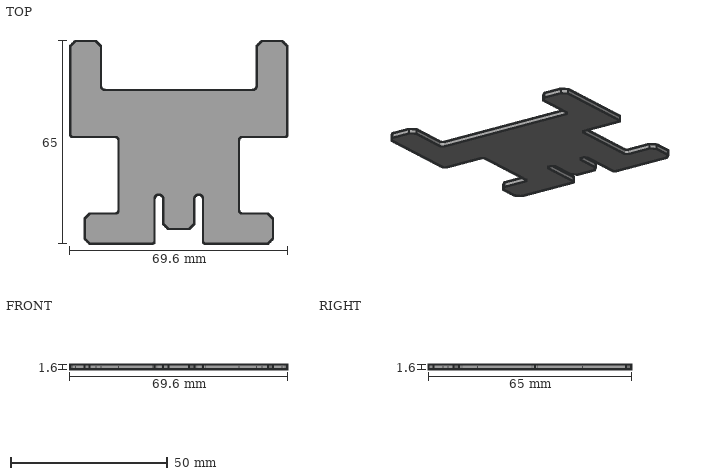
import cadquery as cq

width = 69.6
height = 65.0
thickness = 1.6

arm_width = 9.9
arm_notch_depth = 15.65
arm_length = 30.8

body_width = 38.7
feet_width = 60.4
foot_height = 9.75

tab_width = 10.0
slot_width = 2.7
slot_depth = 15.7
tab_recess = 4.65

tip_chamfer = 1.7
notch_radius = 1.25
inner_radius = 1.0
outer_radius = 0.8

top = height / 2
bottom = -height / 2
notch_floor = top - arm_notch_depth
arm_bottom = top - arm_length
foot_top = bottom + foot_height
slot_end = bottom + slot_depth
tab_end = bottom + tab_recess

half_width = width / 2
arm_inside = half_width - arm_width
half_body = body_width / 2
half_feet = feet_width / 2
tab_side = tab_width / 2
slot_outside = tab_side + slot_width
slot_center = tab_side + slot_width / 2
slot_arc_start = slot_end - slot_width / 2


def corner_edges(plate, corners):
    """Select the upright edges at the given corners and at their mirror images."""
    edges = []
    for x, y in corners:
        for side in (-1, 1):
            nearest = cq.selectors.NearestToPointSelector((side * x, y, thickness / 2))
            edges += plate.edges("|Z").edges(nearest).vals()
    return plate.newObject(edges)


half_plate = (
    cq.Workplane("XY")
    .moveTo(0, notch_floor)
    .lineTo(arm_inside, notch_floor)
    .lineTo(arm_inside, top)
    .lineTo(half_width, top)
    .lineTo(half_width, arm_bottom)
    .lineTo(half_body, arm_bottom)
    .lineTo(half_body, foot_top)
    .lineTo(half_feet, foot_top)
    .lineTo(half_feet, bottom)
    .lineTo(slot_outside, bottom)
    .lineTo(slot_outside, slot_arc_start)
    .threePointArc((slot_center, slot_end), (tab_side, slot_arc_start))
    .lineTo(tab_side, tab_end)
    .lineTo(0, tab_end)
    .close()
    .extrude(thickness)
)
plate = half_plate.union(half_plate.mirror("YZ"), clean=True)

tip_corners = [
    (arm_inside, top),
    (half_width, top),
    (half_feet, foot_top),
    (half_feet, bottom),
    (tab_side, tab_end),
]
plate = corner_edges(plate, tip_corners).chamfer(tip_chamfer)

plate = corner_edges(plate, [(arm_inside, notch_floor)]).fillet(notch_radius)

inner_corners = [
    (half_body, arm_bottom),
    (half_body, foot_top),
]
plate = corner_edges(plate, inner_corners).fillet(inner_radius)

outer_corners = [
    (half_width, arm_bottom),
    (slot_outside, bottom),
]
result = corner_edges(plate, outer_corners).fillet(outer_radius)